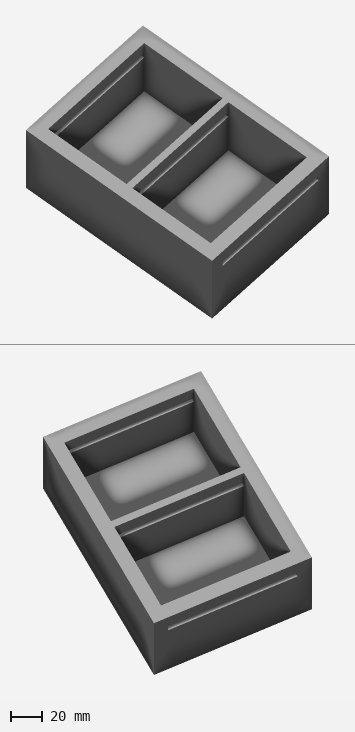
import cadquery as cq

length = 158.0
width = 112.0
height = 60.0

pocket_length = 66.5
pocket_width = 92.0
divider = 4.9
floor = 10.0
pocket_depth = height - floor

slot_top_drop = 10.9
slot_height = 4.1
slot_width = pocket_width


def make_block():
    return cq.Workplane("XY").box(length, width, height, centered=(True, True, False))


def cut_pockets(body):
    pitch = pocket_length + divider
    for side in (-1, 1):
        pocket = (
            cq.Workplane("XY", origin=(side * pitch / 2, 0, floor))
            .box(pocket_length, pocket_width, pocket_depth, centered=(True, True, False))
        )
        body = body.cut(pocket)
    return body


def cut_slot(body):
    slot_bottom = height - slot_top_drop - slot_height
    slot = (
        cq.Workplane("XY", origin=(0, 0, slot_bottom))
        .box(length, slot_width, slot_height, centered=(True, True, False))
    )
    return body.cut(slot)


result = cut_slot(cut_pockets(make_block()))